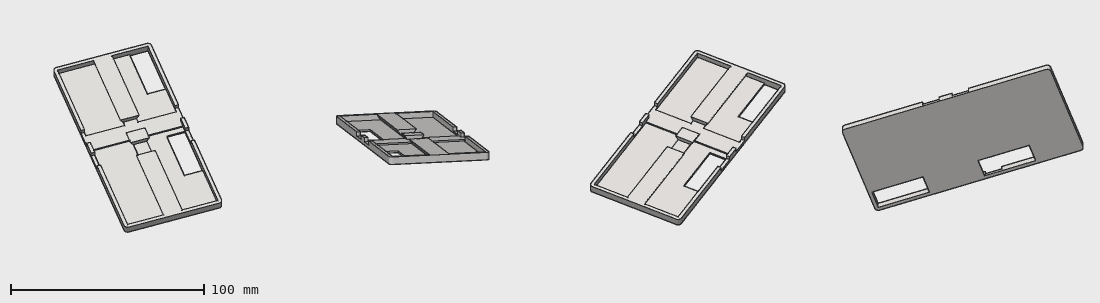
import cadquery as cq

length = 114.5
width = 53.5
height = 4.0
wall = 2.0
corner_radius = 2.0

floor_level = 1.0
channel_level = 1.8

gap_half_length = 12.6
spine_left = -10.2
spine_right = 0.0
stop_half_length = 3.5

rail_top_width = 10.3
rail_channel_width = 7.4

window_length = 28.0
window_width = 10.0
right_window_start = 3.1

inner_x = length / 2 - wall
inner_y = width / 2 - wall


def block(x_start, x_end, y_start, y_end, z_start, z_end):
    """Box given by its limits along each axis."""
    return cq.Workplane("XY").box(
        x_end - x_start, y_end - y_start, z_end - z_start, centered=False
    ).translate((x_start, y_start, z_start))


def floor_pocket(x_start, x_end):
    """Recess between the end wall and the spine, down to the floor."""
    return block(x_start, x_end, -inner_y, inner_y, floor_level, height)


def dovetail_rail(x_start, x_end, top_level):
    """Rail on the tray's long axis, with flanks that lean outwards as they rise."""
    flank_slope = (rail_top_width - rail_channel_width) / 2 / (height - channel_level)
    half_base = rail_top_width / 2 - flank_slope * height
    half_top = half_base + flank_slope * top_level
    section = [(-half_base, 0), (half_base, 0), (half_top, top_level), (-half_top, top_level)]
    rail = cq.Workplane("YZ").polyline(section).close().extrude(x_end - x_start)
    return rail.translate((x_start, 0, 0))


def window(x_start):
    """Rectangular opening against the inner face of the rear wall."""
    return block(x_start, x_start + window_length, inner_y - window_width, inner_y, 0, height)


tray = cq.Workplane("XY").box(length, width, height, centered=(True, True, False))
tray = tray.edges("|Z").fillet(corner_radius)
tray = tray.cut(block(-gap_half_length, gap_half_length, -width / 2, width / 2, channel_level, height))

tray = tray.cut(floor_pocket(-inner_x, spine_left))
tray = tray.cut(floor_pocket(spine_right, inner_x))

tray = tray.union(dovetail_rail(-inner_x, inner_x, channel_level))
full_height_spans = (
    (-inner_x, -gap_half_length),
    (-stop_half_length, stop_half_length),
    (gap_half_length, inner_x),
)
for span_start, span_end in full_height_spans:
    tray = tray.union(dovetail_rail(span_start, span_end, height))

for y_start in (-width / 2, inner_y):
    stop = block(-stop_half_length, stop_half_length, y_start, y_start + wall, 0, height)
    tray = tray.union(stop)

for window_start in (-inner_x, right_window_start):
    tray = tray.cut(window(window_start))

result = tray